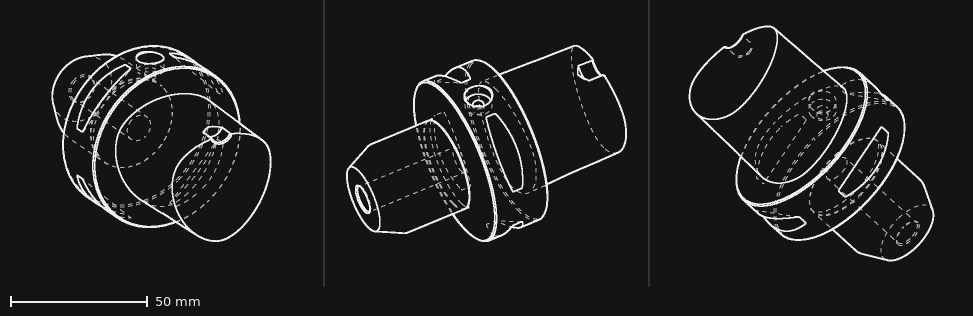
import cadquery as cq
import math


nose_length = 60.0
nose_diameter = 35.0
nose_tip_diameter = 25.4
nose_cone_length = 10.7
tip_bevel_length = 0.25
tip_bevel_height = 0.9
shoulder_radius = 1.5
bore_diameter = 10.0
bore_depth = 40.0
bore_chamfer = 0.5

neck_diameter = 34.8
neck_length = 1.1
neck_lead = 0.3
neck_fillet = 2.0
neck_recess_depth = 0.1
neck_recess_width = 1.1

flange_diameter = 63.0
flange_width = 22.0
flange_chamfer = 0.5

groove_x = -12.0
groove_floor_radius = 27.9
groove_floor_width = 3.9
groove_floor_fillet = 0.6
groove_side_angle = 30.0
groove_clearance = 1.0
groove_angles = (45.0, 135.0, 225.0, 315.0)

pocket_diameter = 10.0
pocket_floor_radius = 26.5
pocket_chamfer = 0.3
pilot_diameter = 4.0
pilot_depth = 3.0

shank_length = 38.0
shank_diameter = 44.1
lobe_height = 1.35
shank_slope = 1.0 / 40.0
lobe_points = 48

notch_diameter = 8.8
notch_length = 6.2
notch_axis_z = 21.4
notch_point_angle = 105.0
notch_chamfer = 0.5

pilot_point_angle = 118.0


def main_body():
    """Nose, neck and flange turned as one profile."""
    tip_radius = nose_tip_diameter / 2
    nose_radius = nose_diameter / 2
    neck_radius = neck_diameter / 2
    flange_radius = flange_diameter / 2
    flange_front = -flange_width
    cone_start = -nose_length + tip_bevel_length
    shoulder_x = -nose_length + nose_cone_length
    cone_angle = math.atan2(nose_radius - tip_radius, shoulder_x - cone_start)
    shoulder_tangent = shoulder_radius * math.tan(cone_angle / 2)
    neck_end = flange_front + neck_recess_depth - neck_fillet
    neck_start = neck_end - neck_length
    arc_offset = neck_fillet * math.sqrt(0.5)
    arc_centre_radius = neck_radius + neck_fillet
    profile = (
        cq.Workplane("XY")
        .moveTo(-nose_length, 0)
        .lineTo(-nose_length, tip_radius - tip_bevel_height)
        .lineTo(cone_start, tip_radius)
        .lineTo(
            shoulder_x - shoulder_tangent * math.cos(cone_angle),
            nose_radius - shoulder_tangent * math.sin(cone_angle),
        )
        .tangentArcPoint((shoulder_x + shoulder_tangent, nose_radius), relative=False)
        .lineTo(neck_start - neck_lead, nose_radius)
        .lineTo(neck_start, neck_radius)
        .lineTo(neck_end, neck_radius)
        .threePointArc(
            (neck_end + arc_offset, arc_centre_radius - arc_offset),
            (neck_end + neck_fillet, arc_centre_radius),
        )
        .lineTo(flange_front, arc_centre_radius + neck_recess_width)
        .lineTo(flange_front, flange_radius - flange_chamfer)
        .lineTo(flange_front + flange_chamfer, flange_radius)
        .lineTo(-flange_chamfer, flange_radius)
        .lineTo(0, flange_radius - flange_chamfer)
        .lineTo(0, 0)
        .close()
    )
    return profile.revolve(360, (0, 0, 0), (1, 0, 0))


def shank_point(diameter, angle):
    """Point of the constant-width trilobe, one lobe pointing to -Z."""
    support = diameter / 2 + lobe_height * math.sin(3 * angle)
    support_slope = 3 * lobe_height * math.cos(3 * angle)
    y = support * math.cos(angle) - support_slope * math.sin(angle)
    z = support * math.sin(angle) + support_slope * math.cos(angle)
    return (y, z)


def shank_outline(x):
    diameter = shank_diameter - 2 * shank_slope * x
    angles = [2 * math.pi * i / lobe_points for i in range(lobe_points)]
    points = [cq.Vector(x, *shank_point(diameter, angle)) for angle in angles]
    return cq.Wire.assembleEdges([cq.Edge.makeSpline(points, periodic=True)])


def taper_shank():
    return cq.Solid.makeLoft([shank_outline(0), shank_outline(shank_length)], True)


def drill(diameter, depth, chamfer, start, direction, point_angle=None):
    """Drilled hole: cylinder with an optional mouth chamfer and an optional conical point."""
    radius = diameter / 2
    origin = cq.Vector(*start)
    axis = cq.Vector(*direction)
    tool = cq.Workplane(cq.Solid.makeCylinder(radius, depth, origin, axis))
    if chamfer:
        mouth = cq.Solid.makeCone(radius + chamfer, radius, chamfer, origin, axis)
        tool = tool.union(cq.Workplane(mouth))
    if point_angle:
        point_length = radius / math.tan(math.radians(point_angle / 2))
        point = cq.Solid.makeCone(radius, 0, point_length, origin + axis * depth, axis)
        tool = tool.union(cq.Workplane(point))
    return tool


def nose_bore():
    return drill(bore_diameter, bore_depth, bore_chamfer, (-nose_length, 0, 0), (1, 0, 0))


def flange_pocket():
    """Flat-bottomed radial pocket with a small pointed pilot hole in its floor."""
    top_z = flange_diameter / 2
    depth = top_z - pocket_floor_radius
    down = (0, 0, -1)
    pocket = drill(pocket_diameter, depth, pocket_chamfer, (groove_x, 0, top_z), down)
    floor_centre = (groove_x, 0, pocket_floor_radius)
    pilot = drill(pilot_diameter, pilot_depth, 0, floor_centre, down, pilot_point_angle)
    return pocket.union(pilot)


def shank_notch():
    """Notch bored parallel to the spindle axis from the rear end, its axis outside the shank."""
    start = (shank_length, 0, notch_axis_z)
    return drill(notch_diameter, notch_length, notch_chamfer, start, (-1, 0, 0), notch_point_angle)


def gripper_groove(angle):
    """Straight trapezoidal groove across the flange, tangential to it at the given angle."""
    top_radius = flange_diameter / 2 + groove_clearance
    half_floor = groove_floor_width / 2
    side_run = (top_radius - groove_floor_radius) * math.tan(math.radians(groove_side_angle))
    half_top = half_floor + side_run
    section = [
        (groove_x - half_floor, groove_floor_radius),
        (groove_x + half_floor, groove_floor_radius),
        (groove_x + half_top, top_radius),
        (groove_x - half_top, top_radius),
    ]
    groove = cq.Workplane("XZ").polyline(section).close().extrude(flange_diameter / 2, both=True)
    groove = groove.faces("<Z").edges("|Y").fillet(groove_floor_fillet)
    return groove.rotate((0, 0, 0), (1, 0, 0), angle)


result = main_body().union(cq.Workplane(taper_shank()))
for groove_angle in groove_angles:
    result = result.cut(gripper_groove(groove_angle))
result = result.cut(nose_bore())
result = result.cut(flange_pocket())
result = result.cut(shank_notch())